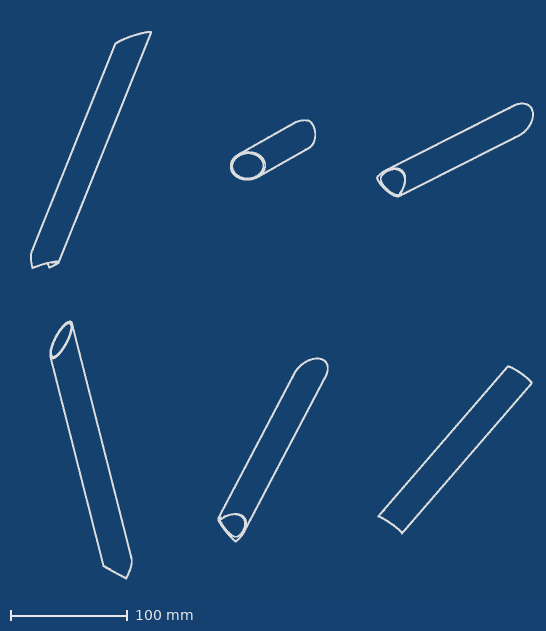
import cadquery as cq
import math

overall_depth = 140.7
overall_height = 205.7

outer_diameter = 25.0
wall = 1.2
outer_radius = outer_diameter / 2
inner_radius = outer_radius - wall

miter_angle = 45.0

lean = math.atan2(overall_depth, overall_height)
refinement_steps = 20
for _ in range(refinement_steps):
    axis_run_y = overall_depth - outer_radius * (1 + math.cos(lean))
    axis_run_z = overall_height - outer_radius * (1 + math.sin(lean))
    lean = math.atan2(axis_run_y, axis_run_z)
axis_length = math.hypot(axis_run_y, axis_run_z)


def straight_tube():
    """Upright tube, long enough for the miter to trim its head."""
    stock_length = axis_length + 2 * outer_radius
    return cq.Workplane("XY").circle(outer_radius).circle(inner_radius).extrude(stock_length)


def miter_cutter():
    """Wedge above the head plane, which rises toward +X through the axis end."""
    half_width = 2 * outer_radius
    rise = half_width * math.tan(math.radians(miter_angle))
    return (
        cq.Workplane("XZ")
        .moveTo(-half_width, axis_length - rise)
        .lineTo(half_width, axis_length + rise)
        .lineTo(-half_width, axis_length + rise)
        .close()
        .extrude(half_width, both=True)
    )


def cope_cutter():
    """Cylinder along X, as wide as the tube, that saddles the foot."""
    return cq.Workplane("YZ").circle(outer_radius).extrude(outer_diameter, both=True)


tube = straight_tube().cut(miter_cutter()).cut(cope_cutter())
result = tube.rotate((0, 0, 0), (1, 0, 0), -math.degrees(lean))